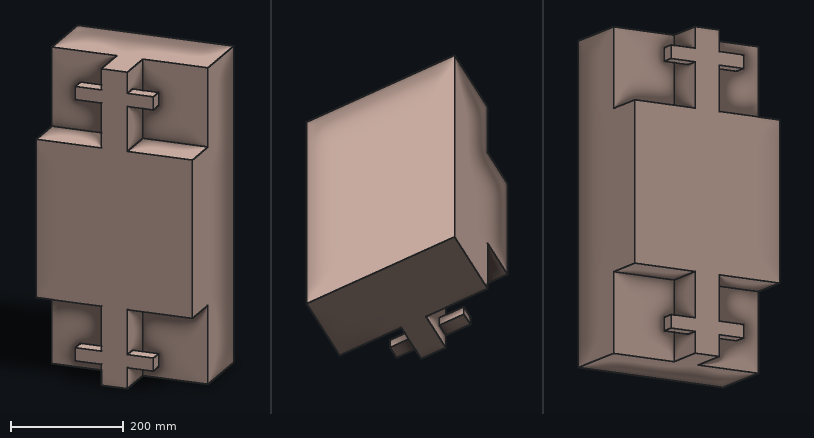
import cadquery as cq

WIDTH = 300.0
DEPTH = 200.0
HEIGHT = 600.0

STEP_HEIGHT = HEIGHT / 4
STEP_DEPTH = 75.0

RIB_WIDTH = 50.0

BAR_LENGTH = WIDTH / 2
BAR_SIZE = 25.0
BAR_END_OFFSET = 40.0

FRONT_Y = -DEPTH / 2


def front_box(width, depth, height, center_z):
    """Box centred on X, reaching back from the front face by the given depth."""
    center_y = FRONT_Y + depth / 2
    return cq.Workplane("XY").box(width, depth, height).translate((0, center_y, center_z))


def shape_end(body, side):
    """Cut the step at one end (side +1 top, -1 bottom) and add its rib and bar."""
    step_z = side * (HEIGHT - STEP_HEIGHT) / 2
    bar_z = side * (HEIGHT / 2 - BAR_END_OFFSET - BAR_SIZE / 2)
    step = front_box(WIDTH, STEP_DEPTH, STEP_HEIGHT, step_z)
    rib = front_box(RIB_WIDTH, STEP_DEPTH, STEP_HEIGHT, step_z)
    bar = front_box(BAR_LENGTH, BAR_SIZE, BAR_SIZE, bar_z)
    return body.cut(step).union(rib).union(bar)


result = cq.Workplane("XY").box(WIDTH, DEPTH, HEIGHT)
for end_side in (1, -1):
    result = shape_end(result, end_side)
result = result.clean()